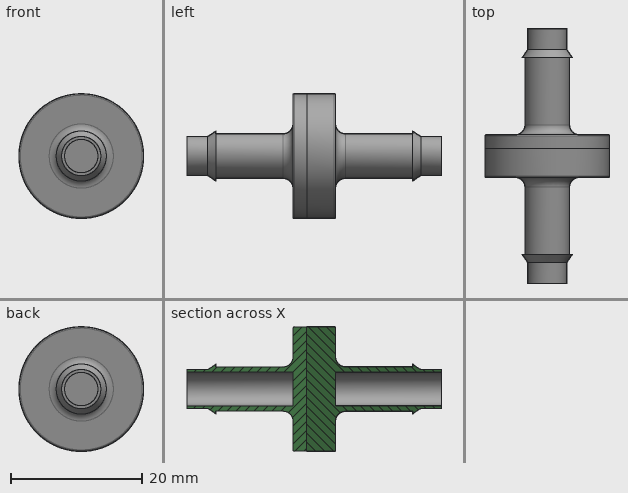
import cadquery as cq

overall_length = 38.85
half_length = overall_length / 2

flange_radius = 19.05 / 2
flange_width = 6.53
flange_half_width = flange_width / 2
flange_edge_radius = 0.25
joint_y = 1.13

bore_radius = 5.1 / 2
tip_radius = 6.0 / 2
stem_radius = 6.85 / 2
barb_radius = 7.65 / 2
tip_length = 3.2
barb_length = 1.25
root_fillet_radius = 1.48
bore_depth = half_length - flange_half_width


def housing_half(flange_thickness):
    """One half, with its joint face on the XZ plane and its stem along +Y."""
    end_y = flange_thickness + half_length - flange_half_width
    barb_tip_y = end_y - tip_length
    barb_base_y = barb_tip_y - barb_length

    flange = (
        cq.Workplane("XY")
        .rect(flange_radius, flange_thickness, centered=False)
        .revolve(360, (0, 0), (0, 1))
        .faces(">Y")
        .edges()
        .fillet(flange_edge_radius)
    )

    root_y = flange_thickness + root_fillet_radius
    root_outer_radius = stem_radius + root_fillet_radius
    arc_offset = root_fillet_radius * (1 - 0.5 ** 0.5)
    stem = (
        cq.Workplane("XY")
        .lineTo(root_outer_radius, 0)
        .lineTo(root_outer_radius, flange_thickness)
        .threePointArc(
            (stem_radius + arc_offset, flange_thickness + arc_offset),
            (stem_radius, root_y),
        )
        .lineTo(stem_radius, barb_base_y)
        .lineTo(barb_radius, barb_base_y)
        .lineTo(tip_radius, barb_tip_y)
        .lineTo(tip_radius, end_y)
        .lineTo(0, end_y)
        .close()
        .revolve(360, (0, 0), (0, 1))
    )

    bore = (
        cq.Workplane("XY", origin=(0, end_y - bore_depth, 0))
        .rect(bore_radius, bore_depth, centered=False)
        .revolve(360, (0, 0), (0, 1))
    )
    return flange.union(stem).cut(bore)


rear_housing = housing_half(flange_half_width - joint_y).translate((0, joint_y, 0))
front_housing = (
    housing_half(flange_half_width + joint_y)
    .rotate((0, 0, 0), (0, 0, 1), 180)
    .translate((0, joint_y, 0))
)

result = cq.Compound.makeCompound([rear_housing.val(), front_housing.val()])